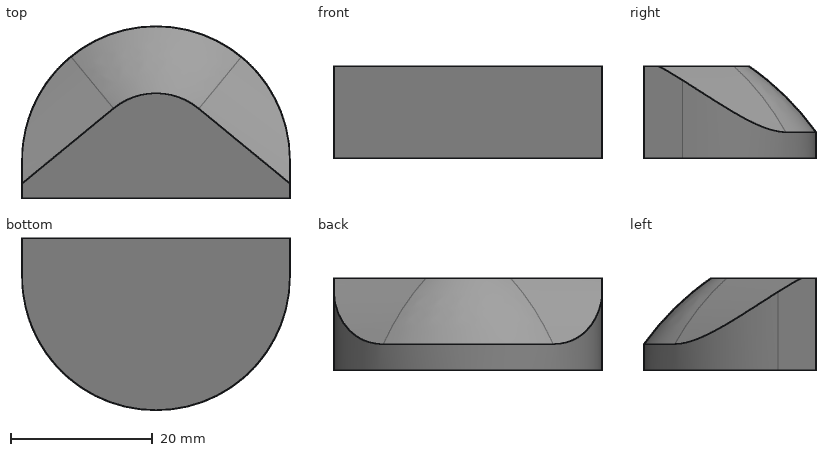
import cadquery as cq
import math

width = 37.8
depth = 24.25
height = 13.0
rim_height = 3.7
crown_radius = 9.45
slope_angle = 39.4
slope_bulge = 0.55
margin = 1.9

outer_radius = width / 2
center_y = depth - outer_radius


def make_body():
    """Full-height block with a semicircular back and a flat front."""
    return (
        cq.Workplane("XY")
        .moveTo(-outer_radius, 0)
        .lineTo(outer_radius, 0)
        .lineTo(outer_radius, center_y)
        .threePointArc((0, depth), (-outer_radius, center_y))
        .close()
        .extrude(height)
    )


def slope_profile():
    """Half section of the envelope: flat top, bowed slope, then a level ledge."""
    run = outer_radius - crown_radius
    drop = height - rim_height
    slope_length = math.hypot(run, drop)
    bow_point = (
        crown_radius + run / 2 + slope_bulge * drop / slope_length,
        height - drop / 2 + slope_bulge * run / slope_length,
    )
    return (
        cq.Workplane("XZ")
        .lineTo(outer_radius + margin, 0)
        .lineTo(outer_radius + margin, rim_height)
        .lineTo(outer_radius, rim_height)
        .threePointArc(bow_point, (crown_radius, height))
        .lineTo(0, height)
        .close()
    )


def make_envelope():
    """Revolved slope continued as a straight, tangent wing on each side."""
    envelope = slope_profile().revolve(360, (0, 0), (0, 1))
    right_wing = (
        slope_profile()
        .extrude(width)
        .rotate((0, 0, 0), (0, 0, 1), 90 - slope_angle)
    )
    left_wing = right_wing.mirror("YZ")
    return envelope.union(right_wing).union(left_wing).translate((0, center_y, 0))


result = make_body().intersect(make_envelope()).clean()